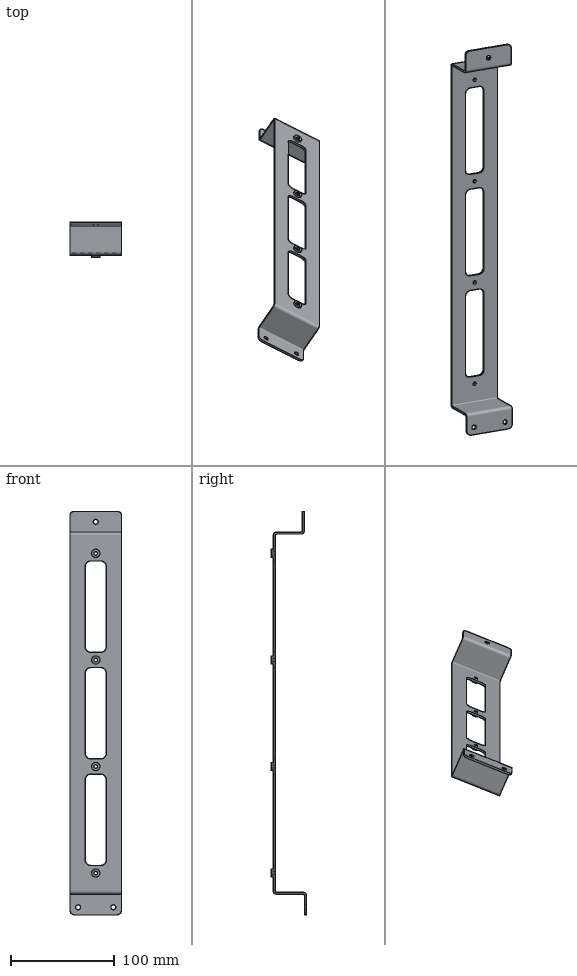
import cadquery as cq

width = 50.0
sheet = 2.0
bend_inner = 1.0
bend_outer = bend_inner + sheet

total_height = 389.0
plate_height = 349.0
top_depth = 30.0
bottom_depth = 32.0
top_corner_radius = 4.0
bottom_corner_radius = 5.0
half_total = total_height / 2
half_plate = plate_height / 2

window_count = 3
window_pitch = 102.7
window_width = 20.0
bridge_length = 15.0
window_length = window_pitch - bridge_length
window_radius = 5.0
boss_diameter = 8.0
boss_height = 2.0
boss_bore = 3.2

top_hole_diameter = 4.5
top_hole_edge_distance = 10.0
top_hole_z = half_total - top_hole_edge_distance
bottom_hole_diameter = 4.5
bottom_hole_edge_distance = 7.5
bottom_hole_z = bottom_hole_edge_distance - half_total
bottom_hole_spacing = 34.0


def block(size_x, y_min, y_max, z_min, z_max):
    """Box centred on X = 0."""
    box = cq.Workplane("XY").box(size_x, y_max - y_min, z_max - z_min, centered=(True, False, False))
    return box.translate((0, y_min, z_min))


def cylinder(diameter, x, z, y_min, y_max):
    """Cylinder with its axis along Y."""
    axis_start = cq.Vector(x, y_min, z)
    solid = cq.Solid.makeCylinder(diameter / 2, y_max - y_min, axis_start, cq.Vector(0, 1, 0))
    return cq.Workplane(solid)


def round_bend(body, y, z, radius):
    """Fillet the bend edge that runs along X through (y, z)."""
    edge = body.edges("|X").edges(cq.selectors.NearestToPointSelector((0, y, z)))
    return edge.fillet(radius)


def upper_half(depth, corner_radius):
    """Half of the plate, a web going back from its upper end and a flange going up from the web."""
    web_bottom = half_plate - sheet
    plate = block(width, 0, sheet, 0, half_plate)
    web = block(width, 0, depth, web_bottom, half_plate)
    flange = block(width, depth - sheet, depth, web_bottom, half_total)
    half = plate.union(web).union(flange)
    half = round_bend(half, 0, half_plate, bend_outer)
    half = round_bend(half, sheet, web_bottom, bend_inner)
    half = round_bend(half, depth, web_bottom, bend_outer)
    half = round_bend(half, depth - sheet, half_plate, bend_inner)
    return half.faces(">Z").edges("|Y").fillet(corner_radius)


def bracket_body():
    """Both halves of the bracket; the lower one is built upwards and mirrored down."""
    top = upper_half(top_depth, top_corner_radius)
    bottom = upper_half(bottom_depth, bottom_corner_radius).mirror("XY")
    return top.union(bottom)


def centred_positions(count, pitch):
    """Evenly spaced positions, symmetric about zero."""
    return [(index - (count - 1) / 2) * pitch for index in range(count)]


def cut_windows(body):
    for z in centred_positions(window_count, window_pitch):
        window = block(window_width, 0, sheet, z - window_length / 2, z + window_length / 2)
        body = body.cut(window.edges("|Y").fillet(window_radius))
    return body


def add_bosses(body):
    """Bored bosses standing off the front face, on both sides of each window."""
    for z in centred_positions(window_count + 1, window_pitch):
        body = body.union(cylinder(boss_diameter, 0, z, -boss_height, sheet))
        body = body.cut(cylinder(boss_bore, 0, z, -boss_height, sheet))
    return body


def drill_flanges(body):
    body = body.cut(cylinder(top_hole_diameter, 0, top_hole_z, top_depth - sheet, top_depth))
    for x in centred_positions(2, bottom_hole_spacing):
        hole = cylinder(bottom_hole_diameter, x, bottom_hole_z, bottom_depth - sheet, bottom_depth)
        body = body.cut(hole)
    return body


result = drill_flanges(add_bosses(cut_windows(bracket_body())))